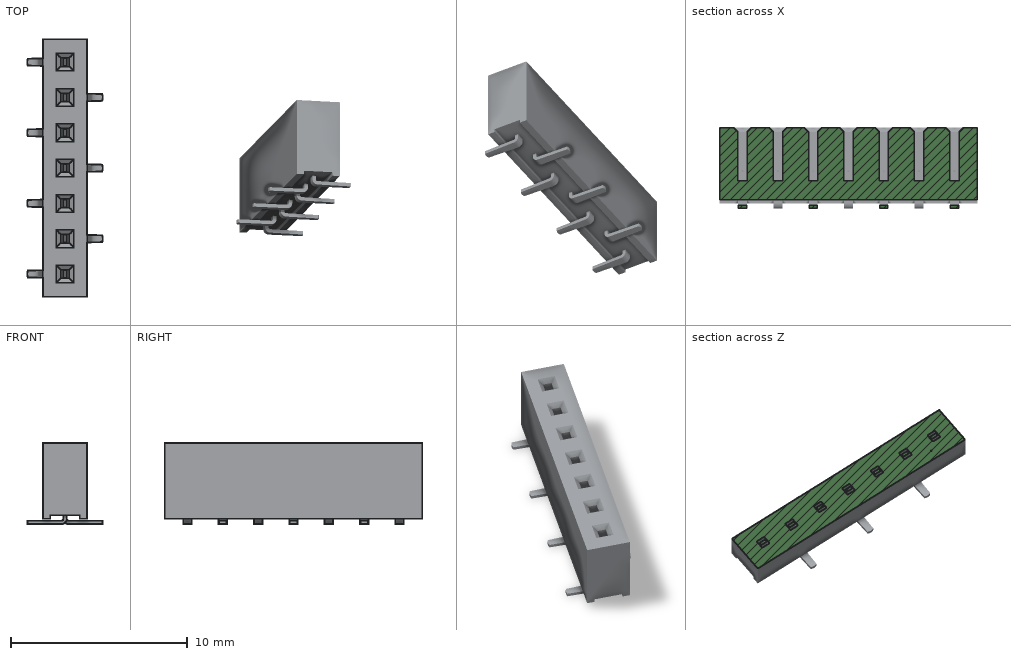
import cadquery as cq

pin_count = 7
pitch = 2.0
housing_width = 2.5
housing_length = 14.6
overall_height = 4.6
housing_height = 4.3
housing_base_z = overall_height - housing_height
groove_width = 1.65
groove_depth = 0.2

socket_mouth = 1.0
socket_bore = 0.5
mouth_depth = (socket_mouth - socket_bore) / 2
socket_depth = 3.0
socket_floor_z = overall_height - socket_depth

lead_span = 4.3
lead_reach = lead_span / 2
sheet_thickness = 0.2
bend_inner_radius = 0.1
bend_outer_radius = bend_inner_radius + sheet_thickness
contact_width = 0.5
tip_width = 0.4
tip_bulge = 0.05
pin_top_width = 0.42
pin_rise_above_floor = 0.5


def make_housing():
    """Plain block with a full-length groove between two feet underneath."""
    block = cq.Workplane("XY").box(
        housing_width, housing_length, housing_height, centered=(True, True, False)
    )
    groove = cq.Workplane("XY").box(
        groove_width, housing_length, groove_depth, centered=(True, True, False)
    )
    return block.cut(groove).translate((0, 0, housing_base_z))


def make_socket():
    """Blind square bore with a pyramid-shaped lead-in at the top face."""
    bore = (
        cq.Workplane("XY")
        .workplane(offset=socket_floor_z)
        .rect(socket_bore, socket_bore)
        .extrude(socket_depth)
    )
    mouth = (
        cq.Workplane("XY")
        .workplane(offset=overall_height)
        .rect(socket_mouth, socket_mouth)
        .workplane(offset=-mouth_depth)
        .rect(socket_bore, socket_bore)
        .loft(combine=True)
    )
    return bore.union(mouth)


def make_contact():
    """Bent contact with its tapered, round-ended lead pointing along +X."""
    half_sheet = sheet_thickness / 2
    bend_x = half_sheet + bend_inner_radius
    bend_z = bend_outer_radius
    profile = (
        cq.Workplane("XZ")
        .moveTo(-half_sheet, socket_floor_z)
        .lineTo(-half_sheet, bend_z)
        .radiusArc((bend_x, 0), -bend_outer_radius)
        .lineTo(lead_reach, 0)
        .lineTo(lead_reach, sheet_thickness)
        .lineTo(bend_x, sheet_thickness)
        .radiusArc((half_sheet, bend_z), bend_inner_radius)
        .lineTo(half_sheet, socket_floor_z)
        .close()
        .extrude(contact_width / 2, both=True)
    )
    tip_corner_x = lead_reach - tip_bulge
    plan = (
        cq.Workplane("XY")
        .moveTo(-half_sheet, -contact_width / 2)
        .lineTo(bend_x, -contact_width / 2)
        .lineTo(tip_corner_x, -tip_width / 2)
        .threePointArc((lead_reach, 0), (tip_corner_x, tip_width / 2))
        .lineTo(bend_x, contact_width / 2)
        .lineTo(-half_sheet, contact_width / 2)
        .close()
        .extrude(socket_floor_z)
    )
    pin_top = (
        cq.Workplane("XY")
        .workplane(offset=socket_floor_z)
        .rect(sheet_thickness, pin_top_width)
        .extrude(pin_rise_above_floor)
    )
    return profile.intersect(plan).union(pin_top)


socket = make_socket()
right_contact = make_contact()
left_contact = right_contact.rotate((0, 0, 0), (0, 0, 1), 180)

result = make_housing()
first_y = -pitch * (pin_count - 1) / 2
for index in range(pin_count):
    y = first_y + index * pitch
    contact = left_contact if index % 2 == 0 else right_contact
    result = result.cut(socket.translate((0, y, 0)))
    result = result.union(contact.translate((0, y, 0)))